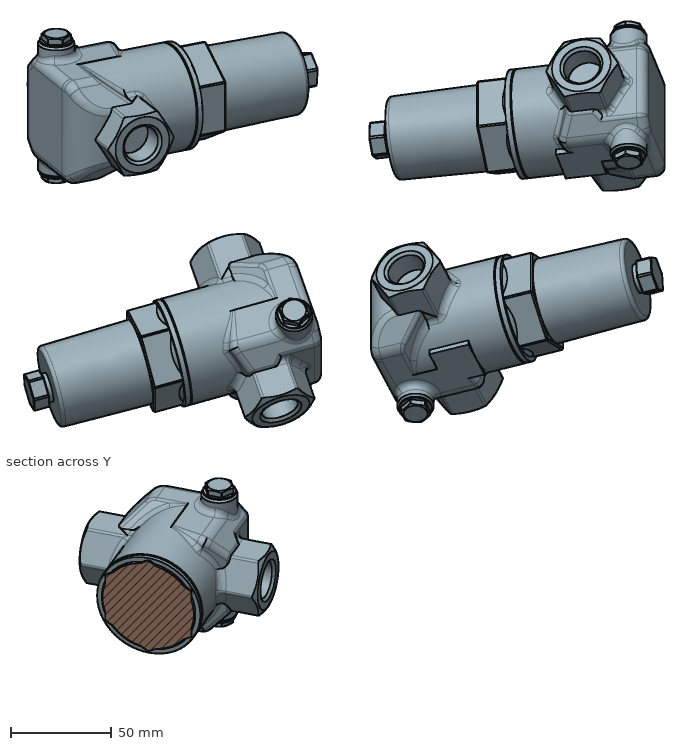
import cadquery as cq
import math

OVERALL_LENGTH = 145.57
PORT_SPAN = 95.0
PLUG_SPAN = 79.0

TOP_Y = 116.85
BOTTOM_Y = TOP_Y - OVERALL_LENGTH

HEXAGON_HALF_ANGLE = math.radians(30)

BARREL_DIAMETER = 55.0
BARREL_BOTTOM_Y = -23.5
FLANGE_TOP_Y = 43.5
FLANGE_HEIGHT = 2.8
GROOVE_WIDTH = 0.6
GROOVE_DEPTH = 0.3

BONNET_FLATS = 46.0
BONNET_CORNER_DIAMETER = 52.6
BONNET_TOP_Y = 58.8
BONNET_CHAMFER = 0.8
BASE_CONE_DIAMETER = 50.0
BASE_CONE_HEIGHT = 2.4
HOOD_BASE_DIAMETER = 43.7
HOOD_TOP_DIAMETER = 42.0
HOOD_TOP_Y = 106.3
HOOD_EDGE_RADIUS = 2.0

SCREW_FLATS = 17.0
SCREW_CORNER_DIAMETER = 19.0
SCREW_HEAD_HEIGHT = 8.2
SCREW_TURN = 8.0
SCREW_NECK_DIAMETER = 15.0
SCREW_CHAMFER = 0.4

PORT_FLATS = 32.0
PORT_FACE_DIAMETER = 30.0
PORT_CHAMFER_ANGLE = 30.0
PORT_EDGE_RADIUS = 1.5
PORT_CONE_LENGTH = 6.0
PORT_NECK_RADIUS = 4.0
PORT_ROOT_RADIUS = 3.0
PORT_BORE_DIAMETER = 18.7
PORT_MOUTH_DIAMETER = 21.7
PORT_DEPTH = 13.0

CHAMBER_HALF_HEIGHT = 27.8
CHAMBER_LEFT_X = -27.6
CHAMBER_RIGHT_X = 33.3
CHAMBER_BEVEL_SUM = 47.8
CHAMBER_EDGE_RADIUS = 5.0
CHAMBER_BEVEL_RADIUS = 8.0
NOSE_RADIUS = 18.5
CHAMBER_SIDE_RADIUS = 3.0
NECK_LEFT_X = -31.0
NECK_BOTTOM_Y = -6.5
NECK_TOP_Y = 11.0
LEFT_SHOULDER_Y = 13.5
SHOULDER_PEAK_X = -19.0
SHOULDER_PEAK_Y = 18.0
RIGHT_SHOULDER_Y = -12.0
RIGHT_SHOULDER_RUN = 15.0
SHOULDER_DROP = 12.0
LEFT_SHOULDER_RADIUS = 4.0
RIGHT_SHOULDER_RADIUS = 3.0
LEFT_BLEND_RADIUS = 3.0
RIGHT_BLEND_RADIUS = 5.0

SELECT_MARGIN = 1.0
RIGHT_BLEND_X = 13.0
RIGHT_BLEND_Y = -4.0
LEFT_BLEND_X = -16.5
PORT_ROOT_Y = -14.0

PAD_HALF_WIDTH = 11.7
PAD_TOP_Y = 20.8

PLUG_X = -15.1
PLUG_Y = -17.1
BOSS_DIAMETER = 18.3
BOSS_HALF_SPAN = 35.4
BOSS_CHAMFER = 1.2
BOSS_ROOT_RADIUS = 3.5
BOSS_BASE_Z = 10.0
PLUG_COLLAR_DIAMETER = 16.5
PLUG_COLLAR_HEIGHT = 0.8
PLUG_FLATS = 13.0
PLUG_CORNER_DIAMETER = 14.8
PLUG_TOP_DIAMETER = 12.0
PLUG_TOP_BEVEL = 0.6


def cylinder_y(diameter, y_start, y_end):
    """Cylinder about the spindle axis."""
    return cq.Workplane("XZ", origin=(0, y_start, 0)).circle(diameter / 2).extrude(y_start - y_end)


def revolve_y(profile):
    """Turn a closed (radius, y) profile about the spindle axis."""
    return cq.Workplane("XY").polyline(profile).close().revolve(360, (0, 0, 0), (0, 1, 0))


def hexagon(plane, flats, height, turn=0):
    """Hexagonal prism; at zero turn its corners lie on the plane's local X axis."""
    corner_diameter = flats / math.cos(HEXAGON_HALF_ANGLE)
    prism = cq.Workplane(plane).polygon(6, corner_diameter).extrude(height)
    return prism.rotate(plane.origin.toTuple(), (plane.origin + plane.zDir).toTuple(), turn)


def round_edges(body, radius, *points):
    """Fillet the edge nearest to each point, together with its tangent neighbours."""
    edges = []
    for point in points:
        edges.extend(body.edges(cq.selectors.NearestToPointSelector(point)).vals())
    return body.newObject(edges).fillet(radius)


def above_and_below(x, y, z):
    """The same point on the +Z and the -Z half of the part."""
    return (x, y, z), (x, y, -z)


def barrel_height(x):
    """Distance of the barrel surface from the spindle axis at a sideways offset x."""
    return math.sqrt((BARREL_DIAMETER / 2) ** 2 - x ** 2)


def barrel():
    """Round body with a flange set off by a shallow groove."""
    body = cylinder_y(BARREL_DIAMETER, BARREL_BOTTOM_Y, FLANGE_TOP_Y)
    groove_y = FLANGE_TOP_Y - FLANGE_HEIGHT
    ring = cylinder_y(BARREL_DIAMETER, groove_y - GROOVE_WIDTH, groove_y)
    core = cylinder_y(BARREL_DIAMETER - 2 * GROOVE_DEPTH, groove_y - GROOVE_WIDTH, groove_y)
    return body.cut(ring.cut(core))


def bonnet():
    """Hexagon on a base cone, carrying the tapered hood."""
    plane = cq.Plane(origin=(0, FLANGE_TOP_Y, 0), xDir=(0, 0, 1), normal=(0, 1, 0))
    hexagon_part = hexagon(plane, BONNET_FLATS, BONNET_TOP_Y - FLANGE_TOP_Y)
    hexagon_part = hexagon_part.intersect(cylinder_y(BONNET_CORNER_DIAMETER, FLANGE_TOP_Y, BONNET_TOP_Y))
    hexagon_part = hexagon_part.faces(">Y").chamfer(BONNET_CHAMFER)
    base_radius = BASE_CONE_DIAMETER / 2
    cone = revolve_y([
        (0, FLANGE_TOP_Y),
        (base_radius, FLANGE_TOP_Y),
        (base_radius - BASE_CONE_HEIGHT, FLANGE_TOP_Y + BASE_CONE_HEIGHT),
        (0, FLANGE_TOP_Y + BASE_CONE_HEIGHT),
    ])
    hood = revolve_y([
        (0, BONNET_TOP_Y),
        (HOOD_BASE_DIAMETER / 2, BONNET_TOP_Y),
        (HOOD_TOP_DIAMETER / 2, HOOD_TOP_Y),
        (0, HOOD_TOP_Y),
    ])
    hood = hood.faces(">Y").edges().fillet(HOOD_EDGE_RADIUS)
    return hexagon_part.union(cone).union(hood)


def adjusting_screw():
    """Hexagon head and round neck on top of the hood."""
    head_y = TOP_Y - SCREW_HEAD_HEIGHT
    plane = cq.Plane(origin=(0, head_y, 0), xDir=(0, 0, 1), normal=(0, 1, 0))
    head = hexagon(plane, SCREW_FLATS, SCREW_HEAD_HEIGHT, SCREW_TURN)
    head = head.intersect(cylinder_y(SCREW_CORNER_DIAMETER, head_y, TOP_Y))
    head = head.faces("<Y or >Y").chamfer(SCREW_CHAMFER)
    return head.union(cylinder_y(SCREW_NECK_DIAMETER, HOOD_TOP_Y, head_y))


def port_hexagon(side):
    """Hexagonal pipe end on the +X (side = 1) or -X (side = -1) end."""
    half_span = PORT_SPAN / 2
    plane = cq.Plane(origin=(0, 0, 0), xDir=(0, 1, 0), normal=(side, 0, 0))
    prism = hexagon(plane, PORT_FLATS, half_span).edges("|X").fillet(PORT_EDGE_RADIUS)
    face_radius = PORT_FACE_DIAMETER / 2
    outer_radius = face_radius + PORT_CONE_LENGTH / math.tan(math.radians(PORT_CHAMFER_ANGLE))
    envelope = (
        cq.Workplane("XY")
        .polyline([
            (0, 0),
            (0, outer_radius),
            (side * (half_span - PORT_CONE_LENGTH), outer_radius),
            (side * half_span, face_radius),
            (side * half_span, 0),
        ])
        .close()
        .revolve(360, (0, 0, 0), (1, 0, 0))
    )
    return prism.intersect(envelope)


def port_bore(side):
    """Blind bore with a conical mouth."""
    half_span = PORT_SPAN / 2
    bore_radius = PORT_BORE_DIAMETER / 2
    mouth_radius = PORT_MOUTH_DIAMETER / 2
    mouth_depth = mouth_radius - bore_radius
    return (
        cq.Workplane("XY")
        .polyline([
            (side * half_span, 0),
            (side * half_span, mouth_radius),
            (side * (half_span - mouth_depth), bore_radius),
            (side * (half_span - PORT_DEPTH), bore_radius),
            (side * (half_span - PORT_DEPTH), 0),
        ])
        .close()
        .revolve(360, (0, 0, 0), (1, 0, 0))
    )


def shoulder_envelope():
    """Prism along X that slopes the right chamber's upper end down into the barrel."""
    high = CHAMBER_HALF_HEIGHT
    low = high - SHOULDER_DROP
    shoulder_end_y = RIGHT_SHOULDER_Y + RIGHT_SHOULDER_RUN
    return (
        cq.Workplane("YZ")
        .polyline([
            (BOTTOM_Y, -high),
            (RIGHT_SHOULDER_Y, -high),
            (shoulder_end_y, -low),
            (shoulder_end_y, low),
            (RIGHT_SHOULDER_Y, high),
            (BOTTOM_Y, high),
        ])
        .close()
        .extrude(CHAMBER_RIGHT_X)
    )


def chamber_section():
    """Octagonal bar along Y with rounded 45 degree bevels."""
    high = CHAMBER_HALF_HEIGHT
    bevel_x = CHAMBER_BEVEL_SUM - high
    left_z = CHAMBER_BEVEL_SUM + NECK_LEFT_X
    right_z = CHAMBER_BEVEL_SUM - CHAMBER_RIGHT_X
    bar = (
        cq.Workplane("XZ", origin=(0, BOTTOM_Y, 0))
        .polyline([
            (-bevel_x, high),
            (bevel_x, high),
            (CHAMBER_RIGHT_X, right_z),
            (CHAMBER_RIGHT_X, -right_z),
            (bevel_x, -high),
            (-bevel_x, -high),
            (NECK_LEFT_X, -left_z),
            (NECK_LEFT_X, left_z),
        ])
        .close()
        .extrude(BOTTOM_Y - SHOULDER_PEAK_Y)
    )
    top_and_bottom = cq.selectors.BoxSelector(
        (-bevel_x - SELECT_MARGIN, -OVERALL_LENGTH, -high - SELECT_MARGIN),
        (bevel_x + SELECT_MARGIN, OVERALL_LENGTH, high + SELECT_MARGIN))
    return bar.edges("|Y").edges(top_and_bottom).fillet(CHAMBER_BEVEL_RADIUS)


def chamber():
    """Chamber block: wide left half with a neck, right half with a round nose."""
    high = CHAMBER_HALF_HEIGHT
    nose_x = CHAMBER_RIGHT_X - NOSE_RADIUS
    nose_y = BOTTOM_Y + NOSE_RADIUS
    diagonal = NOSE_RADIUS * math.sqrt(0.5)
    right = (
        cq.Workplane("XY", origin=(0, 0, -high))
        .moveTo(0, BOTTOM_Y)
        .lineTo(nose_x, BOTTOM_Y)
        .threePointArc((nose_x + diagonal, nose_y - diagonal), (CHAMBER_RIGHT_X, nose_y))
        .lineTo(CHAMBER_RIGHT_X, RIGHT_SHOULDER_Y + RIGHT_SHOULDER_RUN)
        .lineTo(0, RIGHT_SHOULDER_Y + RIGHT_SHOULDER_RUN)
        .close()
        .extrude(2 * high)
        .intersect(shoulder_envelope())
    )
    left = (
        cq.Workplane("XY", origin=(0, 0, -high))
        .polyline([
            (0, BOTTOM_Y),
            (CHAMBER_LEFT_X, BOTTOM_Y),
            (CHAMBER_LEFT_X, NECK_BOTTOM_Y),
            (NECK_LEFT_X, NECK_BOTTOM_Y + CHAMBER_LEFT_X - NECK_LEFT_X),
            (NECK_LEFT_X, NECK_TOP_Y),
            (SHOULDER_PEAK_X, SHOULDER_PEAK_Y),
            (0, LEFT_SHOULDER_Y),
        ])
        .close()
        .extrude(2 * high)
    )
    block = left.union(right).intersect(chamber_section())
    return block.faces("<Y").edges().fillet(CHAMBER_EDGE_RADIUS)


def rounded_chamber():
    """Chamber with rounded shoulders and rounded edges on its port side."""
    high = CHAMBER_HALF_HEIGHT
    side_z = CHAMBER_BEVEL_SUM + CHAMBER_LEFT_X
    neck_z = CHAMBER_BEVEL_SUM + NECK_LEFT_X
    neck_step_y = NECK_BOTTOM_Y + (CHAMBER_LEFT_X - NECK_LEFT_X) / 2
    body = chamber()
    right_edges = above_and_below((CHAMBER_BEVEL_SUM - high) / 2, RIGHT_SHOULDER_Y, high)
    left_edges = (
        *above_and_below(SHOULDER_PEAK_X / 2, (LEFT_SHOULDER_Y + SHOULDER_PEAK_Y) / 2, high),
        *above_and_below((NECK_LEFT_X + SHOULDER_PEAK_X) / 2, (NECK_TOP_Y + SHOULDER_PEAK_Y) / 2,
                         (neck_z + high) / 2),
    )
    side_edges = (
        *above_and_below(CHAMBER_LEFT_X, (BOTTOM_Y + NECK_BOTTOM_Y) / 2, side_z),
        *above_and_below((CHAMBER_LEFT_X + NECK_LEFT_X) / 2, neck_step_y, (side_z + neck_z) / 2),
        *above_and_below(NECK_LEFT_X, NECK_TOP_Y / 2, neck_z),
    )
    body = round_edges(body, RIGHT_SHOULDER_RADIUS, *right_edges)
    body = round_edges(body, LEFT_SHOULDER_RADIUS, *left_edges)
    return round_edges(body, CHAMBER_SIDE_RADIUS, *side_edges)


def chamber_with_plugs():
    """Rounded chamber with both plug bosses blended into it."""
    body = rounded_chamber()
    for side in (-1, 1):
        body = body.union(plug(side))
    root_points = above_and_below(PLUG_X, PLUG_Y - BOSS_DIAMETER / 2, CHAMBER_HALF_HEIGHT)
    return round_edges(body, BOSS_ROOT_RADIUS, *root_points)


def barrel_with_chamber():
    """Barrel joined to the chamber, with blended shoulders."""
    body = barrel().union(chamber_with_plugs())
    right_points = above_and_below(RIGHT_BLEND_X, RIGHT_BLEND_Y, barrel_height(RIGHT_BLEND_X))
    left_points = (
        (-BARREL_DIAMETER / 2, (NECK_TOP_Y + SHOULDER_PEAK_Y) / 2, 0),
        *above_and_below(LEFT_BLEND_X, SHOULDER_PEAK_Y, barrel_height(LEFT_BLEND_X)),
    )
    body = round_edges(body, RIGHT_BLEND_RADIUS, *right_points)
    return round_edges(body, LEFT_BLEND_RADIUS, *left_points)


def barrel_with_ports():
    """Barrel carrying both port hexagons, blended where they leave the barrel."""
    body = barrel()
    for side in (-1, 1):
        body = body.union(port_hexagon(side))
    half_flats = PORT_FLATS / 2
    radius = BARREL_DIAMETER / 2
    inner_x = barrel_height(half_flats) - SELECT_MARGIN
    reach_y = half_flats / math.cos(HEXAGON_HALF_ANGLE) + SELECT_MARGIN
    root_edges = []
    for x_start, x_end in ((-radius - SELECT_MARGIN, -inner_x), (inner_x, radius + SELECT_MARGIN)):
        region = cq.selectors.BoxSelector(
            (x_start, -reach_y, -radius), (x_end, reach_y, radius), boundingbox=True)
        root_edges.extend(body.edges(region).vals())
    return body.newObject(root_edges).fillet(PORT_NECK_RADIUS)


def pad():
    """Flat pad on the underside of the barrel, level with the chamber."""
    return (
        cq.Workplane("XY", origin=(0, 0, -CHAMBER_HALF_HEIGHT))
        .moveTo(0, PAD_TOP_Y / 2)
        .rect(2 * PAD_HALF_WIDTH, PAD_TOP_Y)
        .extrude(CHAMBER_HALF_HEIGHT / 2)
    )


def plug(side):
    """Boss and hexagon plug on the +Z (side = 1) or -Z (side = -1) face."""
    def disc(diameter, z_start, z_end):
        plane = cq.Plane(origin=(PLUG_X, PLUG_Y, side * z_start), xDir=(1, 0, 0), normal=(0, 0, side))
        return cq.Workplane(plane).circle(diameter / 2).extrude(z_end - z_start)

    outer = ">Z" if side > 0 else "<Z"
    boss = disc(BOSS_DIAMETER, BOSS_BASE_Z, BOSS_HALF_SPAN).faces(outer).chamfer(BOSS_CHAMFER)
    collar_top = BOSS_HALF_SPAN + PLUG_COLLAR_HEIGHT
    collar = disc(PLUG_COLLAR_DIAMETER, BOSS_HALF_SPAN, collar_top)
    head_top = PLUG_SPAN / 2
    plane = cq.Plane(origin=(PLUG_X, PLUG_Y, side * collar_top), xDir=(1, 0, 0), normal=(0, 0, side))
    head = hexagon(plane, PLUG_FLATS, head_top - collar_top)
    bevel_width = (PLUG_CORNER_DIAMETER - PLUG_TOP_DIAMETER) / 2
    rounding = disc(PLUG_CORNER_DIAMETER, collar_top, head_top)
    rounding = rounding.faces(outer).chamfer(PLUG_TOP_BEVEL, bevel_width)
    head = head.intersect(rounding)
    return boss.union(collar).union(head)


result = barrel_with_ports().union(barrel_with_chamber())
port_root_z = math.sqrt(3) * (PORT_FLATS / math.sqrt(3) + PORT_ROOT_Y)
port_root_points = above_and_below(CHAMBER_LEFT_X, PORT_ROOT_Y, port_root_z)
result = round_edges(result, PORT_ROOT_RADIUS, *port_root_points)
result = result.union(pad()).union(bonnet()).union(adjusting_screw())
for port_side in (-1, 1):
    result = result.cut(port_bore(port_side))